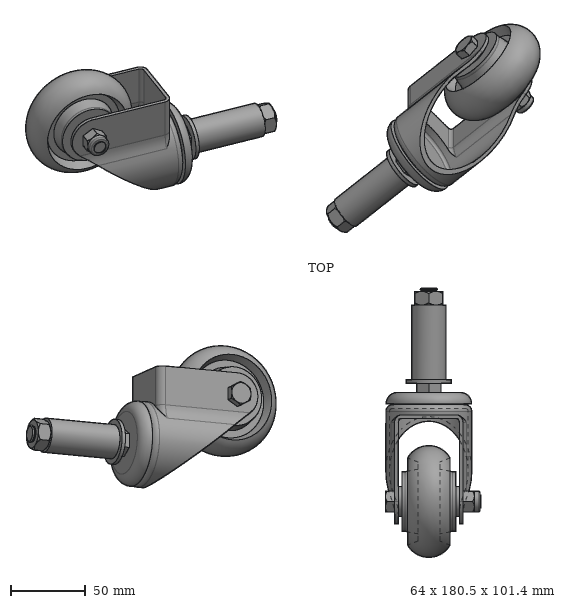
import cadquery as cq
import math


overall_length = 180.5

axle_z = 35.0
wheel_radius = 37.5
tyre_half_width = 14.3
tyre_edge_radius = 29.2
recess_radius = 26.5
recess_half_width = 7.4
hub_foot_radius = 21.7
hub_radius = 20.0
hub_step_half_width = 15.9
hub_half_width = 18.0
spacer_radius = 10.1

sheet = 2.5
fork_half_width = 23.0
fork_end_radius = 15.0
fork_back_y = 58.1
fork_bend_radius = 5.0
blend_radius = 20.0
cup_radius = 28.9
cup_top_y = 65.0
cup_fillet = 4.7
skirt_low_y = 56.8
untrimmed_margin = 2 * fork_end_radius

cap_radius = 28.7
cap_low_y = 65.3
cap_top_y = 73.0
cap_fillet = 7.5
neck_radius = 23.5
neck_overlap = 0.9
stem_hex_flats = 16.5
washer_radius = 15.2
washer_low_y = 79.0
tube_radius = 11.5
tube_low_y = 81.5
tube_top_y = 131.5
stem_nut_flats = 19.0
stem_nut_top_y = 140.8
stem_end_y = overall_length - wheel_radius
thread_radius = 6.0
thread_root_radius = 5.0
thread_pitch = 1.75
thread_turns = 2

bolt_flats = 14.0
bolt_head_end = 29.0
lock_nut_hex_end = 30.5
collar_radius = 7.0
collar_end = 34.3
collar_fillet = 1.0
bolt_tip_radius = 4.3
bolt_tip_end = 35.0


def cylinder_y(radius, low, high):
    return cq.Workplane("XZ", origin=(0, low, 0)).circle(radius).extrude(low - high)


def cylinder_x(radius, low, high):
    return cq.Workplane("YZ", origin=(low, 0, axle_z)).circle(radius).extrude(high - low)


def hexagon(flats, length, chamfered_faces):
    """Hexagonal bar along +Z with two corners on X; the selected end faces have their corners chamfered."""
    corners = flats / math.cos(math.radians(30))
    bar = cq.Workplane("XY").polygon(6, corners).extrude(length)
    if not chamfered_faces:
        return bar
    blank = cq.Workplane("XY").circle(corners / 2).extrude(length)
    blank = blank.faces(chamfered_faces).edges().chamfer((corners - flats) / 2)
    return bar.intersect(blank)


def hexagon_y(flats, low, high, chamfered_faces=""):
    bar = hexagon(flats, high - low, chamfered_faces)
    corners_on_y = bar.rotate((0, 0, 0), (0, 0, 1), 90)
    return corners_on_y.rotate((0, 0, 0), (1, 0, 0), -90).translate((0, low, 0))


def hexagon_x(flats, low, high, chamfered_faces=""):
    bar = hexagon(flats, high - low, chamfered_faces)
    return bar.rotate((0, 0, 0), (0, 1, 0), 90).translate((low, 0, axle_z))


def wheel():
    """Crowned tyre, recessed web and stepped hub, turned about the axle."""
    right_side = [
        (tyre_half_width, tyre_edge_radius),
        (recess_half_width, recess_radius),
        (recess_half_width, hub_foot_radius),
        (hub_step_half_width, hub_radius),
        (hub_half_width, hub_radius),
        (hub_half_width, 0),
    ]
    left_side = [(-x, radius) for x, radius in right_side]
    section = (
        cq.Workplane("XY")
        .moveTo(*left_side[0])
        .threePointArc((0, wheel_radius), right_side[0])
        .polyline(right_side[1:] + left_side[:0:-1], includeCurrent=True)
        .close()
    )
    turned = section.revolve(360, (0, 0, 0), (1, 0, 0)).translate((0, 0, axle_z))
    return turned.union(cylinder_x(spacer_radius, -fork_half_width, fork_half_width))


def fork_envelope(inset):
    """Solid bounded by the fork sheet: inset 0 gives its outside, inset = sheet its inside."""
    front_y = -untrimmed_margin
    half_width = fork_half_width - inset
    radius = cup_radius - inset
    concave = blend_radius + inset
    bend = fork_bend_radius - inset
    top_z = axle_z + untrimmed_margin

    cup = cylinder_y(radius, front_y, cup_top_y - inset).faces(">Y").edges().fillet(cup_fillet - inset)

    centre_x = fork_half_width + blend_radius
    centre_z = math.sqrt((cup_radius + blend_radius) ** 2 - centre_x ** 2)
    slope = math.atan2(centre_z, centre_x)
    foot = (radius * math.cos(slope), radius * math.sin(slope))
    middle = (centre_x - concave * math.cos(slope / 2), centre_z - concave * math.sin(slope / 2))
    cheeks = (
        cq.Workplane("XZ", origin=(0, front_y, 0))
        .moveTo(-half_width, top_z)
        .lineTo(-half_width, centre_z)
        .threePointArc((-middle[0], middle[1]), (-foot[0], foot[1]))
        .lineTo(foot[0], foot[1])
        .threePointArc(middle, (half_width, centre_z))
        .lineTo(half_width, top_z)
        .close()
        .extrude(front_y - fork_back_y + inset)
    )
    cheek_bends = cheeks.faces(">Y").edges("(not <Z) and (not >Z)")
    return cup.union(cheek_bends.fillet(bend))


def fork():
    """Sheet shell trimmed by a round end about the axle and a sloping line tangent to it."""
    shell = fork_envelope(0).cut(fork_envelope(sheet))
    reach = math.hypot(skirt_low_y, axle_z + cup_radius)
    to_skirt = math.atan2(-(axle_z + cup_radius), skirt_low_y)
    tangent_angle = to_skirt - math.acos(fork_end_radius / reach)
    top_angle = -1.5 * math.pi
    middle_angle = (top_angle + tangent_angle) / 2

    def end_point(angle):
        return (fork_end_radius * math.cos(angle), axle_z + fork_end_radius * math.sin(angle))

    trim = (
        cq.Workplane("YZ", origin=(-cup_radius, 0, 0))
        .moveTo(cup_top_y, axle_z + fork_end_radius)
        .lineTo(0, axle_z + fork_end_radius)
        .threePointArc(end_point(middle_angle), end_point(tangent_angle))
        .lineTo(skirt_low_y, -cup_radius)
        .lineTo(cup_top_y, -cup_radius)
        .close()
        .extrude(2 * cup_radius)
    )
    return shell.intersect(trim)


def swivel_cap():
    cap = cylinder_y(cap_radius, cap_low_y, cap_top_y).faces(">Y").edges().fillet(cap_fillet)
    return cap.union(cylinder_y(neck_radius, cup_top_y - neck_overlap, cap_low_y + neck_overlap))


def threaded_tip():
    """Stud end with V-shaped thread grooves."""
    tip = cylinder_y(thread_radius, tube_top_y, stem_end_y)
    for turn in range(thread_turns):
        root_y = stem_end_y - turn * thread_pitch
        groove = (
            cq.Workplane("XY")
            .moveTo(thread_radius, root_y - thread_pitch / 2)
            .lineTo(thread_root_radius, root_y)
            .lineTo(thread_radius, root_y + thread_pitch / 2)
            .close()
            .revolve(360, (0, 0, 0), (0, 1, 0))
        )
        tip = tip.cut(groove)
    return tip


def stem():
    body = hexagon_y(stem_hex_flats, cap_top_y, washer_low_y)
    body = body.union(cylinder_y(washer_radius, washer_low_y, tube_low_y))
    body = body.union(cylinder_y(tube_radius, tube_low_y, tube_top_y))
    nut = hexagon_y(stem_nut_flats, tube_top_y, stem_nut_top_y, "<Z or >Z")
    return body.union(nut).union(threaded_tip())


def axle_bolt():
    head = hexagon_x(bolt_flats, -bolt_head_end, -fork_half_width, "<Z")
    nut = hexagon_x(bolt_flats, fork_half_width, lock_nut_hex_end, ">Z")
    collar = cylinder_x(collar_radius, fork_half_width, collar_end).faces(">X").edges().fillet(collar_fillet)
    tip = cylinder_x(bolt_tip_radius, fork_half_width, bolt_tip_end)
    return head.union(nut).union(collar).union(tip)


result = fork().union(wheel()).union(axle_bolt()).union(swivel_cap()).union(stem())